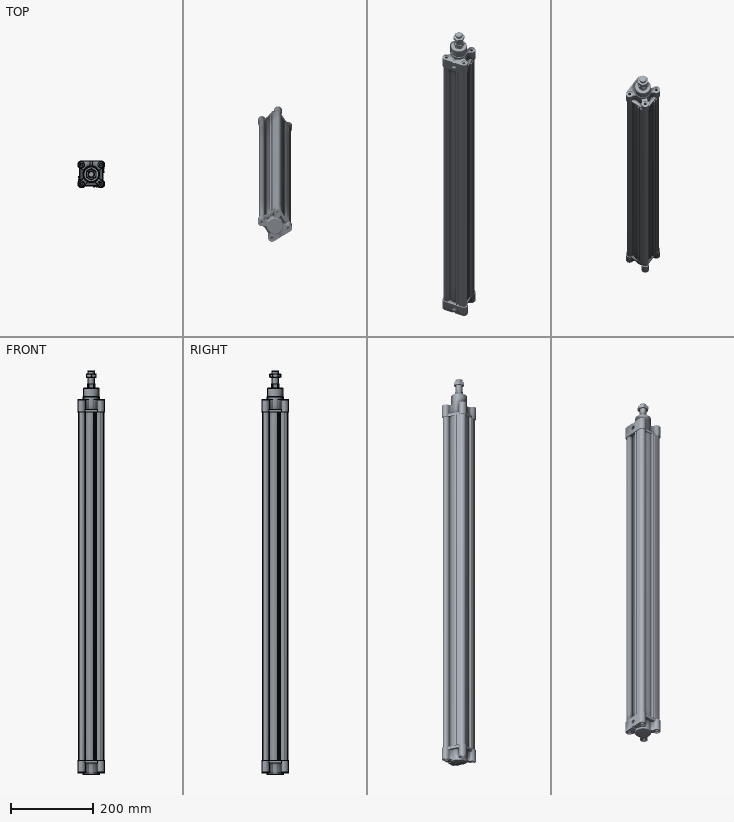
import cadquery as cq
import math

stroke = 800.0
housing_base_length = 106.0
housing_length = housing_base_length + stroke
rear_boss_height = 4.0
thread_length = 32.0
rod_reach = 37.0
rear_face = rear_boss_height
front_face = rear_face + housing_length
thread_start = front_face + rod_reach
rod_tip = thread_start + thread_length

cap_width = 65.0
cap_height = 30.0
screw_spacing = 46.5
corner_radius = (cap_width - screw_spacing) / 2
flange_height = 6.0
flange_width = 56.0
neck_diameter = 40.0
web_width = 13.0
web_fillet = 4.0
screw_hole_diameter = 6.92
screw_hole_depth = 16.0
screw_recess_diameter = 14.0
screw_recess_depth = 2.0
port_diameter = 11.45
port_depth = 14.0
groove_width = 7.0
groove_depth = 2.0

collar_height = 28.0
collar_diameter = 38.0
collar_chamfer = 1.0
collar_base_height = 6.0
wiper_diameter = 24.0
wiper_depth = 2.0

barrel_core_diameter = 50.0
barrel_width = 61.0
barrel_corner_center = 22.5
barrel_corner_radius = barrel_width / 2 - barrel_corner_center
rail_start = 5.0
rail_inner = 15.0
slot_center = 10.3
slot_mouth_width = 2.6
slot_lead_in = 0.7
slot_lip = 2.0
slot_inner_width = 6.0
slot_depth = 5.0

rod_diameter = 20.0
rod_flats = 17.0
rod_flats_length = rod_reach - collar_height
thread_diameter = 16.0
thread_tip_diameter = 13.6
nut_flats = 24.0
nut_height = 8.0
nut_top_gap = 7.5
nut_chamfer_angle = 30.0

quarter_turns = [0, 90, 180, 270]


def cylinder(diameter, start, height, x=0.0, y=0.0):
    return cq.Workplane("XY", origin=(x, y, start)).circle(diameter / 2).extrude(height)


def block(x_range, y_range, start, height):
    width = x_range[1] - x_range[0]
    depth = y_range[1] - y_range[0]
    base = cq.Workplane("XY", origin=(x_range[0], y_range[0], start))
    return base.rect(width, depth, centered=False).extrude(height)


def turned(shape, angle):
    return shape.rotate((0, 0, 0), (0, 0, 1), angle)


def make_cap():
    """One end cap, barrel side at Z = 0, outer face at Z = cap_height, port on the +Y side."""
    half_pitch = screw_spacing / 2
    cap = cylinder(neck_diameter, 0, cap_height)
    diagonal = math.hypot(half_pitch, half_pitch)
    web = turned(block((0, diagonal), (-web_width / 2, web_width / 2), 0, cap_height), 45)
    for angle in quarter_turns:
        cap = cap.union(turned(web, angle))
    neck_box = cq.selectors.BoxSelector((-neck_diameter / 2, -neck_diameter / 2, 0),
                                        (neck_diameter / 2, neck_diameter / 2, cap_height))
    cap = cap.edges("|Z").edges(neck_box).fillet(web_fillet)

    post = cylinder(2 * corner_radius, 0, cap_height, half_pitch, half_pitch)
    for angle in quarter_turns:
        cap = cap.union(turned(post, angle))
    cap = cap.union(cq.Workplane("XY").rect(flange_width, flange_width).extrude(flange_height))

    port_face = cap_width / 2
    cap = cap.union(block((-half_pitch, half_pitch), (half_pitch - corner_radius, port_face), 0, cap_height))

    screw_hole = cylinder(screw_hole_diameter, cap_height - screw_hole_depth, screw_hole_depth,
                          half_pitch, half_pitch)
    screw_recess = cylinder(screw_recess_diameter, cap_height - screw_recess_depth, screw_recess_depth,
                            half_pitch, half_pitch)
    for angle in quarter_turns:
        cap = cap.cut(turned(screw_hole.union(screw_recess), angle))

    port = (
        cq.Workplane("XZ", origin=(0, port_face, cap_height / 2))
        .circle(port_diameter / 2)
        .extrude(port_depth)
    )
    groove = block((-groove_width / 2, groove_width / 2), (neck_diameter / 2, port_face),
                   cap_height - groove_depth, groove_depth)
    return cap.cut(port).cut(groove)


def make_barrel():
    """Round core with four corner lobes and one slotted rail on each side, alike at every quarter turn."""
    start = rear_face + cap_height
    length = housing_length - 2 * cap_height
    half = barrel_width / 2
    barrel = cylinder(barrel_core_diameter, start, length)
    corner = cylinder(2 * barrel_corner_radius, start, length, barrel_corner_center, -barrel_corner_center)
    rail = block((rail_start, barrel_corner_center), (-half, -rail_inner), start, length)
    mouth = block((slot_center - slot_mouth_width / 2, slot_center + slot_mouth_width / 2),
                  (-half, -half + slot_depth), start, length)
    chamber = block((slot_center - slot_inner_width / 2, slot_center + slot_inner_width / 2),
                    (-half + slot_lip, -half + slot_depth), start, length)
    lead_in = (
        cq.Workplane("XY", origin=(slot_center, -half, start))
        .polyline([
            (-slot_mouth_width / 2 - slot_lead_in, 0),
            (slot_mouth_width / 2 + slot_lead_in, 0),
            (slot_mouth_width / 2, slot_lead_in),
            (-slot_mouth_width / 2, slot_lead_in),
        ])
        .close()
        .extrude(length)
    )
    slot = mouth.union(chamber).union(lead_in)
    for angle in quarter_turns:
        barrel = barrel.union(turned(corner.union(rail), angle))
    for angle in quarter_turns:
        barrel = barrel.cut(turned(slot, angle))
    return barrel


def make_housing():
    """Barrel, both caps, stepped front collar and rear boss as one solid, bored for the rod."""
    cap = make_cap()
    front_cap = cap.translate((0, 0, front_face - cap_height))
    rear_cap = cap.mirror("XY").translate((0, 0, rear_face + cap_height))
    collar = cylinder(collar_diameter, front_face, collar_height).faces(">Z").chamfer(collar_chamfer)
    collar_step = (neck_diameter - collar_diameter) / 2
    collar_base = cylinder(neck_diameter, front_face, collar_base_height)
    collar_bevel = (
        cq.Workplane("XY", origin=(0, 0, front_face + collar_base_height))
        .circle(neck_diameter / 2)
        .extrude(collar_step, taper=45)
    )
    collar = collar.union(collar_base).union(collar_bevel)
    rear_boss = cylinder(neck_diameter, 0, rear_boss_height).faces("<Z").chamfer(collar_chamfer)
    housing = make_barrel().union(front_cap).union(rear_cap).union(collar).union(rear_boss)

    collar_top = front_face + collar_height
    wiper_seat = cylinder(wiper_diameter, collar_top - wiper_depth, wiper_depth)
    rod_bore = cylinder(rod_diameter, front_face - cap_height, cap_height + collar_height)
    return housing.cut(wiper_seat).cut(rod_bore)


def make_rod():
    """Rod with four wrench flats below a plain-modelled thread."""
    rod_start = front_face - cap_height
    shank = cylinder(rod_diameter, rod_start, thread_start - rod_start)
    flats_start = thread_start - rod_flats_length
    flats = (
        cq.Workplane("XY", origin=(0, 0, flats_start))
        .rect(rod_diameter, rod_diameter)
        .rect(rod_flats, rod_flats)
        .extrude(rod_flats_length)
    )
    tip_chamfer = (thread_diameter - thread_tip_diameter) / 2
    thread = cylinder(thread_diameter, thread_start, thread_length).faces(">Z").chamfer(tip_chamfer)
    return shank.cut(flats).union(thread)


def make_nut():
    """Hexagon lock nut with its corners bevelled at both ends."""
    nut_start = rod_tip - nut_top_gap - nut_height
    corner_diameter = nut_flats / math.cos(math.radians(30))
    nut = cq.Workplane("XY", origin=(0, 0, nut_start)).polygon(6, corner_diameter).extrude(nut_height)
    nut = turned(nut, 30)
    flat = nut_flats / 2
    corner = corner_diameter / 2
    drop = (corner - flat) * math.tan(math.radians(nut_chamfer_angle))
    envelope = (
        cq.Workplane("XZ", origin=(0, 0, nut_start))
        .polyline([
            (0, 0),
            (flat, 0),
            (corner, drop),
            (corner, nut_height - drop),
            (flat, nut_height),
            (0, nut_height),
        ])
        .close()
        .revolve(360, (0, 0, 0), (0, 1, 0))
    )
    return nut.intersect(envelope).cut(cylinder(thread_diameter, nut_start, nut_height))


housing = make_housing()
rod = make_rod()
nut = make_nut()
result = cq.Compound.makeCompound([body.solids().val() for body in (housing, rod, nut)])